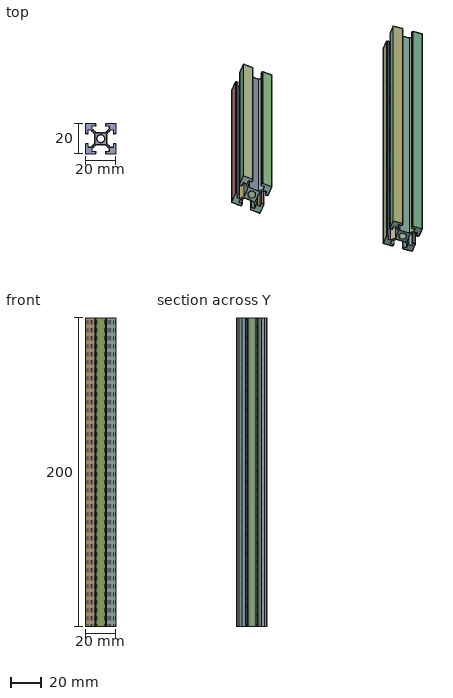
import cadquery as cq

side = 20.0
length = 200.0
slot_opening = 6.2
mouth_chamfer = 0.5
lip_thickness = 1.8
slot_width = 11.0
core_side = 8.0
web_thickness = 1.2
bore_diameter = 5.0

half_side = side / 2
half_opening = slot_opening / 2
inner_depth = half_side - lip_thickness
web_length = slot_width * 2 ** 0.5 + web_thickness


def square_bar(bar_side):
    return cq.Workplane("XY").rect(bar_side, bar_side).extrude(length)


def turned(body, angle):
    return body.rotate((0, 0, 0), (0, 0, 1), angle)


def slot_cutter():
    """T-shaped slot opening toward +X, reaching in to the axis, with a bevelled mouth."""
    return (
        cq.Workplane("XY")
        .moveTo(0, 0)
        .lineTo(0, slot_width / 2)
        .lineTo(inner_depth, slot_width / 2)
        .lineTo(inner_depth, half_opening)
        .lineTo(half_side - mouth_chamfer, half_opening)
        .lineTo(half_side, half_opening + mouth_chamfer)
        .lineTo(half_side, 0)
        .mirrorX()
        .extrude(length)
    )


def corner_blocks():
    """The four corners with their lips, left after cutting the slots from the full bar."""
    blocks = square_bar(side)
    for angle in (0, 90, 180, 270):
        blocks = blocks.cut(turned(slot_cutter(), angle))
    return blocks


def diagonal_web(angle):
    web = cq.Workplane("XY").rect(web_length, web_thickness).extrude(length)
    return turned(web, angle)


def bore():
    return cq.Workplane("XY").circle(bore_diameter / 2).extrude(length)


profile = corner_blocks().union(square_bar(core_side))
for web_angle in (45, 135):
    profile = profile.union(diagonal_web(web_angle))

result = profile.cut(bore())